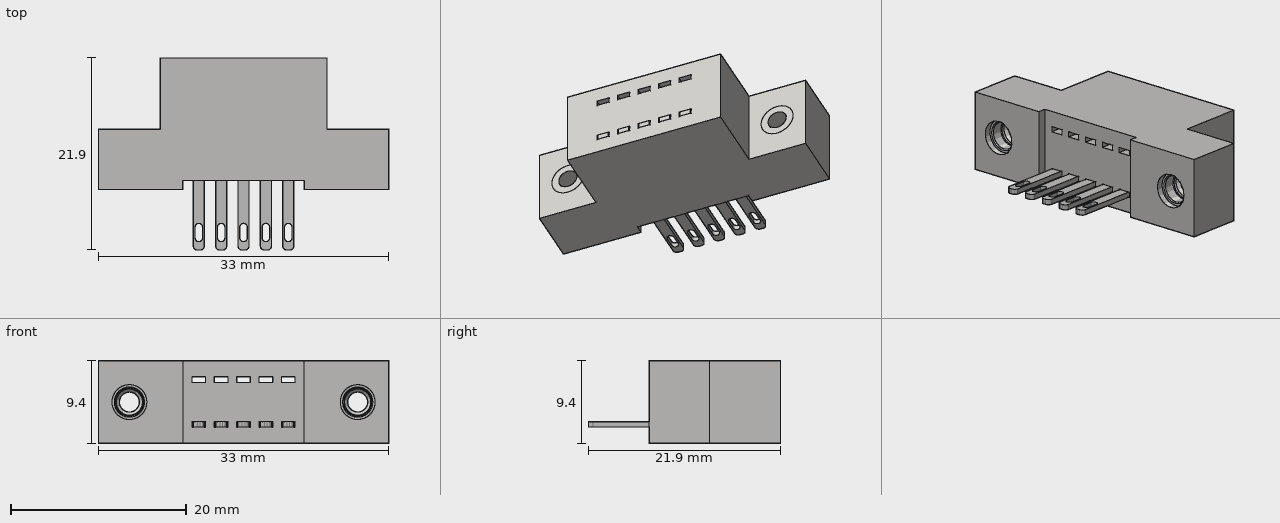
import cadquery as cq

flange_width = 33.02
flange_depth = 6.87
nose_width = 19.0
housing_depth = 14.95
housing_height = 9.4
recess_width = 13.77
recess_depth = 1.02

contact_count = 5
contact_pitch = 2.55
row_spacing = 5.1
slot_width = 1.52
contact_width = 1.3
contact_thickness = 0.63
contact_reach = 6.9
tip_radius = 0.5
eyelet_width = 0.83
eyelet_length = 2.05
eyelet_from_tip = 2.0

mount_spacing = 25.95
mount_radius = 1.98
insert_setback = 0.8
mouth_radius = 1.72
bore_radius = 1.6
bore_end = 2.2
neck_radius = 1.5
neck_length = 0.33
exit_radius = 1.12

bore_start = insert_setback + mouth_radius - bore_radius
neck_start = bore_end + bore_radius - neck_radius
neck_end = neck_start + neck_length
exit_start = neck_end + neck_radius - exit_radius

mount_positions = [-mount_spacing / 2, mount_spacing / 2]
contact_positions = [(i - (contact_count - 1) / 2) * contact_pitch for i in range(contact_count)]
row_heights = [-row_spacing / 2, row_spacing / 2]
contact_row_height = row_heights[0]


def block(width, y_front, y_back, height, x=0.0, z=0.0):
    """Box between two Y positions, centred on the given X and Z."""
    depth = y_back - y_front
    return cq.Workplane("XY").box(width, depth, height).translate((x, y_front + depth / 2, z))


def make_housing():
    housing = block(flange_width, 0, flange_depth, housing_height)
    housing = housing.union(block(nose_width, 0, housing_depth, housing_height))
    housing = housing.cut(block(recess_width, 0, recess_depth, housing_height))
    for z in row_heights:
        for x in contact_positions:
            housing = housing.cut(block(slot_width, 0, housing_depth, contact_thickness, x, z))
    for x in mount_positions:
        hole = cq.Workplane("XZ").center(x, 0).circle(mount_radius).extrude(-flange_depth)
        housing = housing.cut(hole)
    return housing


def make_insert(x):
    """Sleeve along Y whose bore narrows in sloping steps from the mouth to the exit hole."""
    half_section = [
        (mount_radius, insert_setback),
        (mount_radius, flange_depth),
        (exit_radius, flange_depth),
        (exit_radius, exit_start),
        (neck_radius, neck_end),
        (neck_radius, neck_start),
        (bore_radius, bore_end),
        (bore_radius, bore_start),
        (mouth_radius, insert_setback),
    ]
    sleeve = cq.Workplane("XY").polyline(half_section).close().revolve(360, (0, 0), (0, 1))
    return sleeve.translate((x, 0, 0))


def make_contact(x):
    """Flat contact through the housing, with a rounded tip and a wire eyelet."""
    contact = block(contact_width, -contact_reach, housing_depth, contact_thickness)
    contact = contact.edges("|Z and <Y").fillet(tip_radius)
    eyelet = (
        cq.Workplane("XY")
        .center(0, eyelet_from_tip - contact_reach)
        .slot2D(eyelet_length, eyelet_width, 90)
        .extrude(contact_thickness, both=True)
    )
    return contact.cut(eyelet).translate((x, 0, contact_row_height))


housing = make_housing()
inserts = [make_insert(x) for x in mount_positions]
contacts = [make_contact(x) for x in contact_positions]

result = cq.Compound.makeCompound(
    [housing.val()] + [insert.val() for insert in inserts] + [contact.val() for contact in contacts]
)